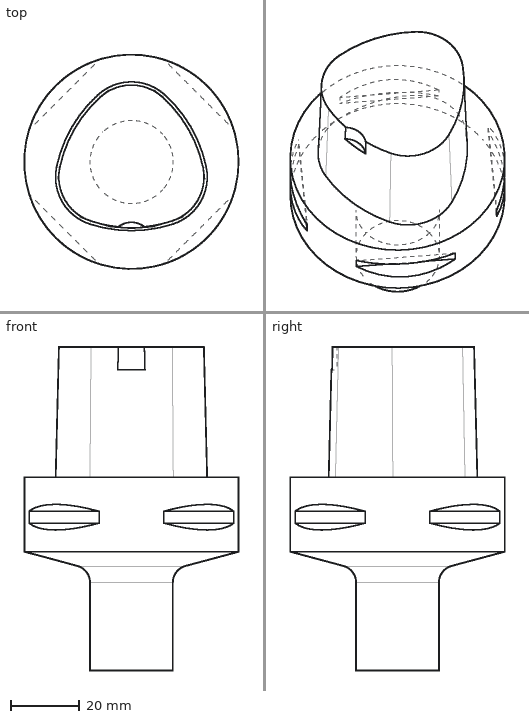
import cadquery as cq
import math

total_height = 95
shoulder_height = 56.8
flange_bottom = 34.9

flange_radius = 63.0 / 2
pin_radius = 24.4 / 2
neck_fillet = 4.9
cone_angle = math.radians(15)

lobe_offset = 8.9
lobe_radius = 14.5
lobe_half_angle = 42
shank_taper = math.degrees(math.atan(1 / 40))

notch_radius = 6.2
notch_depth = 6.65
notch_inner_y = -17.8

slot_count = 4
slot_height = 45.0
slot_floor_width = 3.4
slot_floor_distance = 27.9
slot_flank_angle = math.radians(30)


def polar(radius, degrees):
    angle = math.radians(degrees)
    return radius * math.cos(angle), radius * math.sin(angle)


def turned_body():
    cone_end_radius = pin_radius + neck_fillet * (1 - math.sin(cone_angle))
    cone_end_height = flange_bottom - (flange_radius - cone_end_radius) * math.tan(cone_angle)
    fillet_start = cone_end_height - neck_fillet * math.cos(cone_angle)
    middle_angle = (math.pi / 2 - cone_angle) / 2
    fillet_middle = (
        pin_radius + neck_fillet * (1 - math.cos(middle_angle)),
        fillet_start + neck_fillet * math.sin(middle_angle),
    )
    return (
        cq.Workplane("XZ")
        .lineTo(pin_radius, 0)
        .lineTo(pin_radius, fillet_start)
        .threePointArc(fillet_middle, (cone_end_radius, cone_end_height))
        .lineTo(flange_radius, flange_bottom)
        .lineTo(flange_radius, shoulder_height)
        .lineTo(0, shoulder_height)
        .close()
        .revolve(360, (0, 0, 0), (0, 1, 0))
    )


def lobe_point(lobe_angle, swing):
    """Point on a lobe arc, at an angle from the lobe's own centre line."""
    centre_x, centre_y = polar(lobe_offset, lobe_angle)
    x, y = polar(lobe_radius, lobe_angle + swing)
    return centre_x + x, centre_y + y


def polygon_shank():
    flank_half_angle = math.radians(60 - lobe_half_angle)
    centre_spacing = lobe_offset * math.sin(math.radians(60)) / math.sin(flank_half_angle)
    flank_radius = lobe_radius + centre_spacing
    flank_offset = centre_spacing * math.cos(flank_half_angle) - lobe_offset / 2
    flank_distance = flank_radius - flank_offset

    outline = cq.Workplane("XY").workplane(offset=shoulder_height)
    outline = outline.moveTo(*lobe_point(90, -lobe_half_angle))
    for lobe_angle in (90, 210, 330):
        outline = outline.threePointArc(
            lobe_point(lobe_angle, 0), lobe_point(lobe_angle, lobe_half_angle)
        )
        outline = outline.threePointArc(
            polar(flank_distance, lobe_angle + 60),
            lobe_point(lobe_angle + 120, -lobe_half_angle),
        )
    return outline.close().extrude(total_height - shoulder_height, taper=shank_taper)


def notch_cutter():
    return (
        cq.Workplane("XY")
        .workplane(offset=total_height - notch_depth)
        .center(0, notch_inner_y - notch_radius)
        .circle(notch_radius)
        .extrude(notch_depth)
    )


def slot_cutter():
    """Symmetric V prism with a flat floor, opening toward +X."""
    floor_half = slot_floor_width / 2
    mouth_half = floor_half + (flange_radius - slot_floor_distance) * math.tan(slot_flank_angle)
    return (
        cq.Workplane("XZ")
        .polyline([
            (slot_floor_distance, slot_height - floor_half),
            (flange_radius, slot_height - mouth_half),
            (flange_radius, slot_height + mouth_half),
            (slot_floor_distance, slot_height + floor_half),
        ])
        .close()
        .extrude(flange_radius, both=True)
    )


result = turned_body().union(polygon_shank()).cut(notch_cutter())
for index in range(slot_count):
    slot_angle = 45 + index * 360 / slot_count
    result = result.cut(slot_cutter().rotate((0, 0, 0), (0, 0, 1), slot_angle))